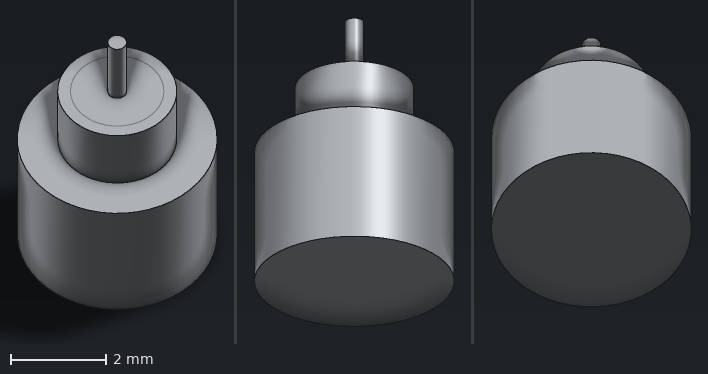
import cadquery as cq

body_diameter = 4.2
body_height = 3.05
neck_diameter = 2.5
neck_height = 1.5
insulator_diameter = 1.96
pin_diameter = 0.4
overall_height = 6.1

neck_top = body_height + neck_height


def cylinder(diameter, bottom, top):
    """Round bar on the Z axis between two heights."""
    return cq.Workplane("XY").workplane(offset=bottom).circle(diameter / 2).extrude(top - bottom)


body = cylinder(body_diameter, 0, body_height)
neck_ring = cylinder(neck_diameter, body_height, neck_top).cut(
    cylinder(insulator_diameter, body_height, neck_top)
)
insulator = cylinder(insulator_diameter, body_height, neck_top)
pin = cylinder(pin_diameter, neck_top, overall_height)

result = (
    body.union(neck_ring, clean=False)
    .union(insulator, clean=False)
    .union(pin, clean=False)
)